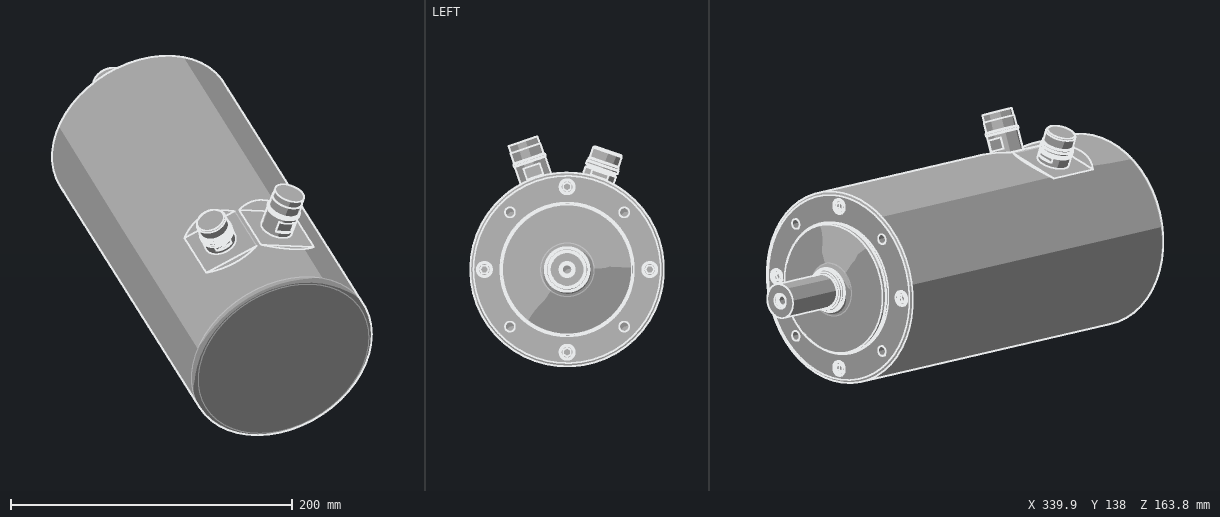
import cadquery as cq
import math


case_radius = 69.0
case_end = 274.7
flange_edge_length = 1.0
flange_edge_step = 2.5
rear_fillet = 3.7
rear_cone_height = 1.7

spigot_radius = 47.5
spigot_relief_radius = 47.0
spigot_relief_length = 3.0
spigot_length = 5.8
spigot_edge_step = 1.5
cone_height = 2.7

hub_base_radius = 19.0
hub_radius = 16.0
hub_fillet = hub_base_radius - hub_radius
seal_radius = 15.0
seal_face_radius = 27.0 / 2
seal_chamfer_start = 14.0
seal_end = 15.0

shaft_radius = 12.2
shaft_length = 63.5
groove_radius = 11.5
groove_start = 15.3
groove_end = 16.3

centre_hole_diameter = 7.0
centre_hole_depth = 17.0
centre_recess_diameter = 9.0
centre_recess_depth = 2.7
centre_mouth_diameter = 11.0
drill_tip_angle = 118

tapped_hole_diameter = 7.0
tapped_hole_depth = 13.5
tapped_hole_circle_radius = 57.5
tapped_hole_first_angle = 45
screw_circle_radius = 58.8
screw_first_angle = 0
counterbore_diameter = 11.0
counterbore_depth = 2.0
screw_head_diameter = 10.0
screw_head_top_diameter = 9.0
screw_head_height = 1.5
socket_width = 5.5
socket_depth = 2.7
holes_per_circle = 4

connector_x = 207.5
connector_tilt = 19
tall_seat_height = 65.5
short_seat_height = 66.0
seat_length = 42.5
seat_end_slope = 21
pocket_cut_height = 6.8

connector_base_radius = 11.5
wrench_flat_offset = 9.5
wrench_cut_depth = 6.8
wrench_cut_width = 12.2

tall_base_top = 81.0
tall_ring_radius = 12.07
tall_ring_bottom = 81.5
tall_ring_top = 83.0
tall_sleeve_bottom = 83.5
tall_sleeve_radius = 11.2
tall_sleeve_top = 91.0
tall_plug_radius = 11.0
tall_plug_top = 96.5
tall_flat_bottom = 69.7
tall_flat_top = 78.0

short_base_top = 73.5
short_neck_radius = 10.5
short_neck_bottom = 74.0
short_neck_top = 75.0
short_ring_radius = 12.0
short_ring_bottom = 75.8
short_ring_top = 78.0
short_step_radius = 11.4
short_step_bottom = 78.5
short_step_top = 80.2
short_plug_radius = 11.0
short_plug_bottom = 81.0
short_plug_chamfer_start = 88.0
short_plug_top = 89.5
short_plug_face_radius = 20.0 / 2
short_flat_bottom = 69.5
short_flat_top = 73.0


def revolve_about_x(points):
    """Solid of revolution from (x, radius) points, starting and ending on the X axis."""
    return cq.Workplane("XY").polyline(points).close().revolve(360, (0, 0, 0), (1, 0, 0))


def revolve_about_z(points):
    """Solid of revolution from (radius, z) points, starting and ending on the Z axis."""
    return cq.Workplane("XZ").polyline(points).close().revolve(360, (0, 0, 0), (0, 1, 0))


def drilled_hole(face_x, diameter, depth):
    """Solid of a blind hole on the X axis, going in +X from face_x, with a conical drill tip."""
    radius = diameter / 2
    tip_length = radius / math.tan(math.radians(drill_tip_angle / 2))
    return revolve_about_x([
        (face_x, 0),
        (face_x, radius),
        (face_x + depth, radius),
        (face_x + depth + tip_length, 0),
    ])


def around_axis(shape, circle_radius, first_angle):
    """Copies of a shape moved from the X axis onto a circle around it."""
    shape = shape.translate((0, 0, circle_radius))
    step = 360 / holes_per_circle
    return [
        shape.rotate((0, 0, 0), (1, 0, 0), first_angle + i * step)
        for i in range(holes_per_circle)
    ]


def case():
    rear_edge = case_end - rear_fillet
    fillet_middle = rear_fillet * math.sqrt(0.5)
    return (
        cq.Workplane("XY")
        .moveTo(0, 0)
        .lineTo(0, case_radius - flange_edge_step)
        .lineTo(flange_edge_length, case_radius)
        .lineTo(rear_edge, case_radius)
        .threePointArc(
            (rear_edge + fillet_middle, case_radius - rear_fillet + fillet_middle),
            (case_end, case_radius - rear_fillet),
        )
        .lineTo(case_end + rear_cone_height, 0)
        .close()
        .revolve(360, (0, 0, 0), (1, 0, 0))
    )


def spigot():
    return revolve_about_x([
        (0, 0),
        (0, spigot_relief_radius),
        (-spigot_relief_length, spigot_relief_radius),
        (-spigot_relief_length, spigot_radius),
        (-spigot_length, spigot_radius - spigot_edge_step),
        (-spigot_length - cone_height, hub_base_radius),
        (-spigot_length - cone_height, 0),
    ])


def hub():
    base_x = -spigot_length - cone_height
    fillet_middle = hub_fillet * (1 - math.sqrt(0.5))
    return (
        cq.Workplane("XY")
        .moveTo(0, 0)
        .lineTo(0, hub_base_radius)
        .lineTo(base_x, hub_base_radius)
        .threePointArc(
            (base_x - fillet_middle, hub_radius + fillet_middle),
            (base_x - hub_fillet, hub_radius),
        )
        .lineTo(base_x - hub_fillet, seal_radius)
        .lineTo(-seal_chamfer_start, seal_radius)
        .lineTo(-seal_end, seal_face_radius)
        .lineTo(-seal_end, 0)
        .close()
        .revolve(360, (0, 0, 0), (1, 0, 0))
    )


def shaft():
    body = revolve_about_x([
        (0, 0),
        (0, groove_radius),
        (-groove_start, groove_radius),
        (-groove_end, shaft_radius),
        (-shaft_length, shaft_radius),
        (-shaft_length, 0),
    ])
    mouth_depth = (centre_mouth_diameter - centre_recess_diameter) / 2
    mouth = revolve_about_x([
        (-shaft_length, 0),
        (-shaft_length, centre_mouth_diameter / 2),
        (-shaft_length + mouth_depth, centre_recess_diameter / 2),
        (-shaft_length + centre_recess_depth, centre_recess_diameter / 2),
        (-shaft_length + centre_recess_depth, 0),
    ])
    centre_hole = drilled_hole(-shaft_length, centre_hole_diameter, centre_hole_depth)
    return body.cut(mouth).cut(centre_hole)


def screw_recess():
    """Counterbore on the X axis with a chamfered socket screw head left standing in it."""
    counterbore = cq.Workplane("YZ").circle(counterbore_diameter / 2).extrude(counterbore_depth)
    head_top = counterbore_depth - screw_head_height
    head_chamfer = (screw_head_diameter - screw_head_top_diameter) / 2
    head = revolve_about_x([
        (head_top, 0),
        (head_top, screw_head_top_diameter / 2),
        (head_top + head_chamfer, screw_head_diameter / 2),
        (counterbore_depth, screw_head_diameter / 2),
        (counterbore_depth, 0),
    ])
    socket = (
        cq.Workplane("YZ", origin=(head_top, 0, 0))
        .polygon(6, socket_width, circumscribed=True)
        .extrude(socket_depth)
    )
    return counterbore.cut(head).union(socket)


def tilted(shape, side):
    """Moves a shape built along Z to the connector place and tilts it to +Y (1) or -Y (-1)."""
    return shape.translate((connector_x, 0, 0)).rotate((0, 0, 0), (1, 0, 0), -side * connector_tilt)


def seat_pocket(seat_height):
    """Flat with sloped ends, cut across the case under a connector."""
    half_length = seat_length / 2
    half_mouth = half_length + pocket_cut_height / math.tan(math.radians(seat_end_slope))
    return (
        cq.Workplane("XZ")
        .polyline([
            (-half_length, seat_height),
            (half_length, seat_height),
            (half_mouth, seat_height + pocket_cut_height),
            (-half_mouth, seat_height + pocket_cut_height),
        ])
        .close()
        .extrude(case_radius / 2, both=True)
    )


def make_motor():
    motor = case().union(spigot()).union(hub()).union(shaft())
    tapped_hole = drilled_hole(0, tapped_hole_diameter, tapped_hole_depth)
    for hole in around_axis(tapped_hole, tapped_hole_circle_radius, tapped_hole_first_angle):
        motor = motor.cut(hole)
    for recess in around_axis(screw_recess(), screw_circle_radius, screw_first_angle):
        motor = motor.cut(recess)
    motor = motor.cut(tilted(seat_pocket(tall_seat_height), 1))
    return motor.cut(tilted(seat_pocket(short_seat_height), -1))


def with_wrench_flats(body, bottom, top):
    """Cuts two opposite flats, facing -X and +X, between two heights of a connector."""
    for direction in (1, -1):
        block = (
            cq.Workplane("XY", origin=(0, 0, bottom))
            .center(direction * (wrench_flat_offset + wrench_cut_depth / 2), 0)
            .rect(wrench_cut_depth, wrench_cut_width)
            .extrude(top - bottom)
        )
        body = body.cut(block)
    return body


def make_tall_connector():
    body = revolve_about_z([
        (0, tall_seat_height),
        (connector_base_radius, tall_seat_height),
        (connector_base_radius, tall_base_top),
        (tall_ring_radius, tall_ring_bottom),
        (tall_ring_radius, tall_ring_top),
        (tall_sleeve_radius, tall_sleeve_bottom),
        (tall_sleeve_radius, tall_sleeve_top),
        (tall_plug_radius, tall_sleeve_top),
        (tall_plug_radius, tall_plug_top),
        (0, tall_plug_top),
    ])
    return tilted(with_wrench_flats(body, tall_flat_bottom, tall_flat_top), 1)


def make_short_connector():
    body = revolve_about_z([
        (0, short_seat_height),
        (connector_base_radius, short_seat_height),
        (connector_base_radius, short_base_top),
        (short_neck_radius, short_neck_bottom),
        (short_neck_radius, short_neck_top),
        (short_ring_radius, short_ring_bottom),
        (short_ring_radius, short_ring_top),
        (short_step_radius, short_step_bottom),
        (short_step_radius, short_step_top),
        (short_plug_radius, short_plug_bottom),
        (short_plug_radius, short_plug_chamfer_start),
        (short_plug_face_radius, short_plug_top),
        (0, short_plug_top),
    ])
    return tilted(with_wrench_flats(body, short_flat_bottom, short_flat_top), -1)


motor = make_motor()
tall_connector = make_tall_connector()
short_connector = make_short_connector()

result = cq.Compound.makeCompound([motor.val(), tall_connector.val(), short_connector.val()])